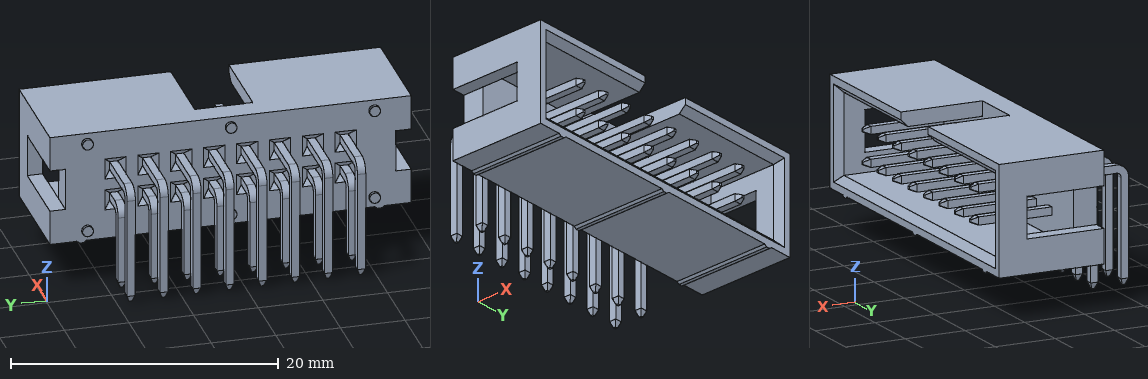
import cadquery as cq

length = 27.98
depth = 8.79
height = 8.85
mid_z = height / 2
wall = 1.2
floor_thickness = 1.95
mouth_chamfer = 0.6

key_width = 4.48
window_end_x = 6.44
window_height = 3.3

peg_diameter = 0.85
peg_height = 0.25
peg_y = 11.1
peg_inset_z = 0.85
rib_y = 11.53
rib_base = 0.75
rib_top = 0.34
rib_height = 0.17

pitch = 2.55
columns = 8
rows = 2
rows_mid_z = 4.45
pin = 0.65
pin_front_x = 8.62
pin_back_x = -4.48
pin_bottom_z = -3.35
bend_outer_radius = 1.0
tip_length = 0.53
tip_width = 0.22
funnel_width = 1.65
funnel_depth = 0.5

column_ys = [(i - (columns - 1) / 2) * pitch for i in range(columns)]


def block(x_start, x_end, y_center, y_size, z_start, z_end):
    """Axis-aligned box, centred in Y on y_center."""
    return cq.Workplane("XY").box(
        x_end - x_start, y_size, z_end - z_start, centered=(False, True, False)
    ).translate((x_start, y_center, z_start))


def forward_plane(x, z):
    """Plane at y = 0 whose normal points along +X."""
    return cq.Plane((x, 0, z), (0, 1, 0), (1, 0, 0))


def taper(plane, start_width, end_width, distance):
    """Square frustum along the normal of a plane."""
    return (
        cq.Workplane(plane)
        .rect(start_width, start_width)
        .workplane(offset=distance)
        .rect(end_width, end_width)
        .loft(combine=True)
    )


def make_housing():
    """Box with a front cavity, a key notch in the top wall and a window in each end wall."""
    housing = block(0, depth, 0, length, 0, height)
    cavity_length = length - 2 * wall
    cavity_height = height - 2 * wall
    cavity = block(floor_thickness, depth, 0, cavity_length, wall, height - wall)
    housing = housing.cut(cavity)

    mouth = (
        cq.Workplane(forward_plane(depth, mid_z))
        .rect(cavity_length + 2 * mouth_chamfer, cavity_height + 2 * mouth_chamfer)
        .workplane(offset=-mouth_chamfer)
        .rect(cavity_length, cavity_height)
        .loft(combine=True)
    )
    housing = housing.cut(mouth)

    housing = housing.cut(block(floor_thickness, depth, 0, key_width, mid_z, height))

    window_bottom = mid_z - window_height / 2
    for side in (-1, 1):
        wall_center = side * (length - wall) / 2
        window = block(0, window_end_x, wall_center, wall, window_bottom, window_bottom + window_height)
        housing = housing.cut(window)
    return housing


def make_pegs():
    """Two rows of three round stand-offs behind the rear face."""
    points = [(y, z) for y in (-peg_y, 0, peg_y) for z in (peg_inset_z, height - peg_inset_z)]
    return cq.Workplane("YZ").pushPoints(points).circle(peg_diameter / 2).extrude(-peg_height)


def make_rib(y):
    """Bevelled rib along X under the housing."""
    return (
        cq.Workplane("YZ")
        .polyline([
            (y - rib_base / 2, 0),
            (y + rib_base / 2, 0),
            (y + rib_top / 2, -rib_height),
            (y - rib_top / 2, -rib_height),
        ])
        .close()
        .extrude(depth)
    )


def row_axis_z(row):
    """Height of the pin axes in a row; row 0 is the lower row."""
    return rows_mid_z + (row - (rows - 1) / 2) * pitch


def make_pin(row):
    """Right-angle square pin at y = 0 with both ends tapered."""
    axis_z = row_axis_z(row)
    top_z = axis_z + pin / 2
    leg_back = pin_back_x + (rows - 1 - row) * pitch
    leg_x = leg_back + pin / 2
    arm_end = pin_front_x - tip_length
    leg_end = pin_bottom_z + tip_length

    arm = block(leg_back, arm_end, 0, pin, top_z - pin, top_z)
    leg = block(leg_back, leg_back + pin, 0, pin, leg_end, top_z)
    corner = (
        cq.Workplane("XZ")
        .moveTo(leg_back + bend_outer_radius, top_z - pin)
        .lineTo(leg_back + bend_outer_radius, top_z)
        .radiusArc((leg_back, top_z - bend_outer_radius), -bend_outer_radius)
        .lineTo(leg_back + pin, top_z - bend_outer_radius)
        .radiusArc((leg_back + bend_outer_radius, top_z - pin), bend_outer_radius - pin)
        .close()
        .extrude(pin / 2, both=True)
    )
    bend_zone = block(
        leg_back, leg_back + bend_outer_radius, 0, pin, top_z - bend_outer_radius, top_z
    )
    front_tip = taper(forward_plane(arm_end, axis_z), pin, tip_width, tip_length)
    leg_tip = taper(cq.Plane((leg_x, 0, leg_end), (1, 0, 0), (0, 0, -1)), pin, tip_width, tip_length)
    return arm.union(leg).cut(bend_zone).union(corner).union(front_tip).union(leg_tip)


def make_funnel(row):
    """Pyramidal recess in the rear face, narrowing to the pin at y = 0."""
    axis_z = row_axis_z(row)
    return taper(forward_plane(0, axis_z), funnel_width, pin, funnel_depth)


result = make_housing().union(make_pegs())
for y in (-rib_y, 0, rib_y):
    result = result.union(make_rib(y))
for row in range(rows):
    funnel = make_funnel(row)
    terminal = make_pin(row)
    for y in column_ys:
        result = result.cut(funnel.translate((0, y, 0)))
        result = result.union(terminal.translate((0, y, 0)))